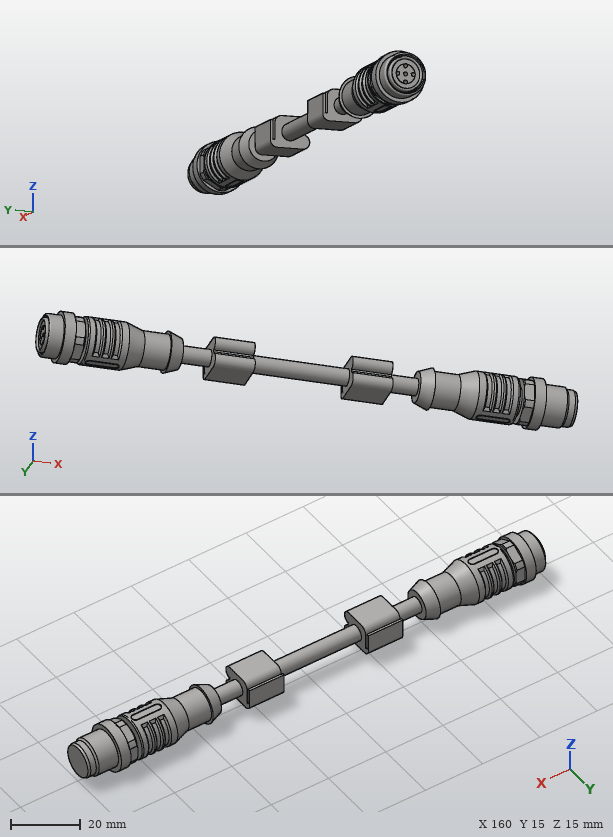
import cadquery as cq
import math

LENGTH = 160.0
MIRROR_X = 77.3
CABLE_D = 5.1

GRIP_START = 12.3
GRIP_END = 24.6
TAPER_END = 29.8
COLLAR_START = 37.6
COLLAR_END = 41.6
GRIP_D = 14.0
GRIP_CENTRE = (GRIP_START + GRIP_END) / 2
GRIP_EDGE_LENGTH = 0.5
GRIP_EDGE_DROP = 0.2
SLEEVE_D = 10.5
COLLAR_D = 12.3
COLLAR_END_D = 9.3
NECK_D = 8.6

GROOVE_COUNT = 3
GROOVE_PITCH = 2.9
GROOVE_TOP = 2.2
GROOVE_FLOOR = 1.3
GROOVE_FLOOR_D = 12.8
GROOVE_END_Y = 3.7
GROOVE_END_Z = math.sqrt((GROOVE_FLOOR_D / 2) ** 2 - GROOVE_END_Y**2)
GROOVE_END_SLOPE = 0.5

RECESS_LENGTH = 10.0
RECESS_WIDTH = 2.4
RECESS_FLOOR_Z = 6.7

RING_D = 15.0
RING_WIDTH = 3.4
HEX_FLATS = 13.1
HEX_CORNER_D = 14.0
HEX_WIDTH = 3.0
HEX_CHAMFER = 0.3
SOCKET_RING_START = 5.1
PLUG_RING_START = 146.5

SOCKET_D = 12.8
SOCKET_FACE = 0.8
SOCKET_BORE = 10.9
SOCKET_BORE_CHAMFER = 0.3
SOCKET_ROUND = 0.5
LIP_D = 10.2
LIP_BORE = 8.6
LIP_ROUND_LENGTH = 0.3
LIP_GAP_END = 2.0
CONTACT_FACE = 0.6
CONTACT_STEP_D = 5.8
CONTACT_STEP = 0.2
CONTACT_D = 1.15
CONTACT_DEPTH = 3.2
CONTACT_CIRCLE_R = 2.4

PLUG_D = 12.0
PLUG_STEP_START = 156.6
PLUG_STEP_END = 157.3
PLUG_TIP_D = 10.9
PLUG_CHAMFER_START = 159.2
PLUG_END_D = 10.2

CLIP_STARTS = (50.7, 92.2)
CLIP_LENGTH = 12.0
CLIP_Y = 6.0
CLIP_Z = 4.72
LOBE_R = 2.0
NOTCH_FLOOR_Y = -4.3
NOTCH_LIP_Y = -4.8
NOTCH_CORNER_Z = 0
BODY_EDGE_Y = 4.6
TONGUE_INNER_Y = 5.3
TONGUE_TOP = 3.28
TONGUE_ROOT = -2.4

DIAGONAL = math.sqrt(0.5)


def cylinder(start, end, diameter):
    """Round bar along X."""
    return cq.Workplane("YZ", origin=(start, 0, 0)).circle(diameter / 2).extrude(end - start)


def turned(profile):
    """Solid of revolution about X of a closed outline of (x, radius) points."""
    return cq.Workplane("XY").polyline(profile).close().revolve(360, (0, 0, 0), (1, 0, 0))


def moulded_blank():
    """Grip, taper, sleeve and flared collar in one turned shape."""
    return turned(
        [
            (GRIP_START, 0),
            (GRIP_START, GRIP_D / 2 - GRIP_EDGE_DROP),
            (GRIP_START + GRIP_EDGE_LENGTH, GRIP_D / 2),
            (GRIP_END, GRIP_D / 2),
            (TAPER_END, SLEEVE_D / 2),
            (COLLAR_START, SLEEVE_D / 2),
            (COLLAR_START, COLLAR_D / 2),
            (COLLAR_END, COLLAR_END_D / 2),
            (COLLAR_END, 0),
        ]
    )


def side_zone():
    """Region on the +Y side that holds the grooves, with sloping ends."""
    far = GRIP_D
    inner_y = GROOVE_END_Y + GROOVE_END_SLOPE * GROOVE_END_Z
    outer_y = inner_y - GROOVE_END_SLOPE * far
    outline = [(inner_y, 0), (outer_y, far), (far, far), (far, -far), (outer_y, -far)]
    zone = cq.Workplane("YZ", origin=(GRIP_START, 0, 0)).polyline(outline).close()
    return zone.extrude(GRIP_END - GRIP_START)


def grip_grooves():
    """Tapered ring grooves limited to the two Y sides."""
    zone = side_zone()
    zone = zone.union(zone.mirror("XZ"))
    rings = cq.Workplane("XY")
    over = GRIP_D / 2
    floor = GROOVE_FLOOR_D / 2
    for index in range(GROOVE_COUNT):
        x = GRIP_CENTRE + (index - (GROOVE_COUNT - 1) / 2) * GROOVE_PITCH
        ring = turned(
            [
                (x - GROOVE_TOP / 2, over),
                (x - GROOVE_FLOOR / 2, floor),
                (x + GROOVE_FLOOR / 2, floor),
                (x + GROOVE_TOP / 2, over),
            ]
        )
        rings = rings.add(ring)
    return rings.combine().intersect(zone)


def marker_recesses():
    """Flat-bottomed slots on the top and bottom of the grip."""
    slot = cq.Workplane("XY", origin=(GRIP_CENTRE, 0, RECESS_FLOOR_Z))
    slot = slot.slot2D(RECESS_LENGTH, RECESS_WIDTH).extrude(GRIP_D)
    return slot.union(slot.mirror("XY"))


def moulded_body():
    return moulded_blank().cut(grip_grooves()).cut(marker_recesses())


def coupling_nut(ring_start, hex_side):
    """Round ring with a hexagon on its cable side; hex_side is +1 or -1 along X."""
    ring_end = ring_start + RING_WIDTH
    ring = cylinder(ring_start, ring_end, RING_D)
    root = ring_end if hex_side > 0 else ring_start
    tip = root + hex_side * HEX_WIDTH
    across_corners = HEX_FLATS / math.cos(math.pi / 6)
    hexagon = cq.Workplane("YZ", origin=(root, 0, 0)).transformed(rotate=(0, 0, 90))
    hexagon = hexagon.polygon(6, across_corners).extrude(hex_side * HEX_WIDTH)
    envelope = turned(
        [
            (root, 0),
            (root, HEX_CORNER_D / 2),
            (tip - hex_side * HEX_CHAMFER, HEX_CORNER_D / 2),
            (tip, HEX_CORNER_D / 2 - HEX_CHAMFER),
            (tip, 0),
        ]
    )
    return ring.union(hexagon.intersect(envelope))


def contact_holes():
    """One central contact and four around it."""
    spots = [(0, 0)]
    for index in range(4):
        angle = index * math.pi / 2
        spots.append((CONTACT_CIRCLE_R * math.cos(angle), CONTACT_CIRCLE_R * math.sin(angle)))
    holes = cq.Workplane("YZ", origin=(CONTACT_FACE, 0, 0)).pushPoints(spots)
    return holes.circle(CONTACT_D / 2).extrude(CONTACT_DEPTH)


def socket_nose():
    """Barrel with a rounded rim, a rounded lip inside it and the contact face."""
    rim_r = SOCKET_D / 2
    bore_r = SOCKET_BORE / 2
    lip_middle_r = (LIP_D + LIP_BORE) / 4
    bend = SOCKET_ROUND * (1 - DIAGONAL)
    outline = (
        cq.Workplane("XY")
        .moveTo(CONTACT_FACE + CONTACT_STEP, 0)
        .lineTo(CONTACT_FACE + CONTACT_STEP, CONTACT_STEP_D / 2)
        .lineTo(CONTACT_FACE, CONTACT_STEP_D / 2)
        .lineTo(CONTACT_FACE, LIP_BORE / 2)
        .lineTo(LIP_ROUND_LENGTH, LIP_BORE / 2)
        .threePointArc((0, lip_middle_r), (LIP_ROUND_LENGTH, LIP_D / 2))
        .lineTo(LIP_GAP_END, LIP_D / 2)
        .lineTo(LIP_GAP_END, bore_r)
        .lineTo(SOCKET_FACE + SOCKET_BORE_CHAMFER, bore_r)
        .lineTo(SOCKET_FACE, bore_r + SOCKET_BORE_CHAMFER)
        .lineTo(SOCKET_FACE, rim_r - SOCKET_ROUND)
        .threePointArc((SOCKET_FACE + bend, rim_r - bend), (SOCKET_FACE + SOCKET_ROUND, rim_r))
        .lineTo(SOCKET_RING_START, rim_r)
        .lineTo(SOCKET_RING_START, 0)
        .close()
    )
    return outline.revolve(360, (0, 0, 0), (1, 0, 0))


def plug_nose():
    """Stepped barrel with a chamfered tip."""
    return turned(
        [
            (PLUG_RING_START + RING_WIDTH, 0),
            (PLUG_RING_START + RING_WIDTH, PLUG_D / 2),
            (PLUG_STEP_START, PLUG_D / 2),
            (PLUG_STEP_END, PLUG_TIP_D / 2),
            (PLUG_CHAMFER_START, PLUG_TIP_D / 2),
            (LENGTH, PLUG_END_D / 2),
            (LENGTH, 0),
        ]
    )


def label_clip(start):
    """Clip section: notched -Y side, rounded top and a thin tongue on the +Y side."""
    bend = LOBE_R * (1 - DIAGONAL)
    lobe_y = LOBE_R - CLIP_Y
    lobe_z = CLIP_Z - LOBE_R
    notch_top = lobe_z - math.sqrt(LOBE_R**2 - (NOTCH_FLOOR_Y - lobe_y) ** 2)
    notch_bottom = -lobe_z + math.sqrt(LOBE_R**2 - (NOTCH_LIP_Y - lobe_y) ** 2)
    section = (
        cq.Workplane("YZ", origin=(start, 0, 0))
        .moveTo(BODY_EDGE_Y - LOBE_R, CLIP_Z)
        .lineTo(lobe_y, CLIP_Z)
        .threePointArc((-CLIP_Y, lobe_z), (NOTCH_FLOOR_Y, notch_top))
        .lineTo(NOTCH_FLOOR_Y, NOTCH_CORNER_Z)
        .lineTo(NOTCH_LIP_Y, notch_bottom)
        .threePointArc((-CLIP_Y, -lobe_z), (lobe_y, -CLIP_Z))
        .lineTo(-lobe_y, -CLIP_Z)
        .threePointArc((CLIP_Y - bend, bend - CLIP_Z), (CLIP_Y, -lobe_z))
        .lineTo(CLIP_Y, TONGUE_TOP)
        .lineTo(TONGUE_INNER_Y, TONGUE_TOP)
        .lineTo(TONGUE_INNER_Y, TONGUE_ROOT)
        .lineTo(BODY_EDGE_Y, TONGUE_ROOT)
        .lineTo(BODY_EDGE_Y, lobe_z)
        .threePointArc((BODY_EDGE_Y - bend, CLIP_Z - bend), (BODY_EDGE_Y - LOBE_R, CLIP_Z))
        .close()
    )
    return section.extrude(CLIP_LENGTH)


socket_body = moulded_body()
plug_body = socket_body.mirror("YZ", (MIRROR_X, 0, 0))
socket_neck = cylinder(SOCKET_RING_START, GRIP_START, NECK_D)
plug_neck = cylinder(2 * MIRROR_X - GRIP_START, PLUG_RING_START, NECK_D)

result = cylinder(COLLAR_END, 2 * MIRROR_X - COLLAR_END, CABLE_D)
result = result.union(socket_body).union(plug_body)
result = result.union(socket_neck).union(plug_neck)
result = result.union(coupling_nut(SOCKET_RING_START, 1))
result = result.union(coupling_nut(PLUG_RING_START, -1))
result = result.union(socket_nose()).union(plug_nose())
for clip_start in CLIP_STARTS:
    result = result.union(label_clip(clip_start))
result = result.cut(contact_holes())